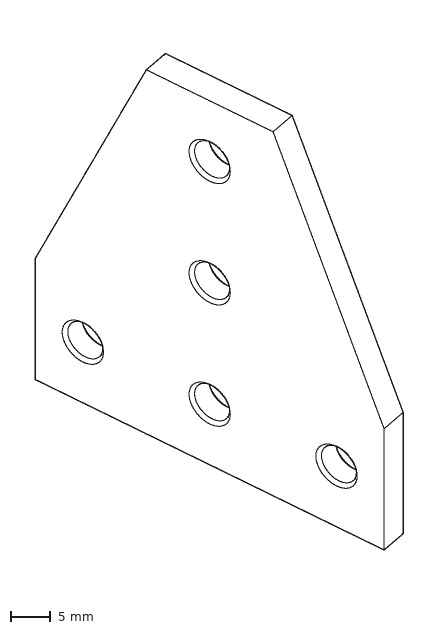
import cadquery as cq

BASE_WIDTH = 55.0
TOP_WIDTH = 20.0
HEIGHT = 60.0
SHOULDER_HEIGHT = 20.0
THICKNESS = 4.0

HOLE_DIAMETER = 5.5
HOLE_CHAMFER = 0.5
HOLE_PITCH = 20.0
BOTTOM_ROW_HEIGHT = 10.0

HOLE_CENTRES = [
    (-HOLE_PITCH, BOTTOM_ROW_HEIGHT),
    (0, BOTTOM_ROW_HEIGHT),
    (HOLE_PITCH, BOTTOM_ROW_HEIGHT),
    (0, BOTTOM_ROW_HEIGHT + HOLE_PITCH),
    (0, BOTTOM_ROW_HEIGHT + 2 * HOLE_PITCH),
]


def make_plate():
    """Plate with its front face on Y = 0 and its bottom edge on Z = 0."""
    outline = [
        (-BASE_WIDTH / 2, 0),
        (BASE_WIDTH / 2, 0),
        (BASE_WIDTH / 2, SHOULDER_HEIGHT),
        (TOP_WIDTH / 2, HEIGHT),
        (-TOP_WIDTH / 2, HEIGHT),
        (-BASE_WIDTH / 2, SHOULDER_HEIGHT),
    ]
    return cq.Workplane("XZ").polyline(outline).close().extrude(-THICKNESS)


def make_hole_bores():
    """Round bores running through the full plate thickness."""
    return cq.Workplane("XZ").pushPoints(HOLE_CENTRES).circle(HOLE_DIAMETER / 2).extrude(-THICKNESS)


def chamfer_hole_mouths(plate):
    """Break the hole edges on both the front and the back face."""
    return plate.edges("%CIRCLE").chamfer(HOLE_CHAMFER)


result = chamfer_hole_mouths(make_plate().cut(make_hole_bores()))